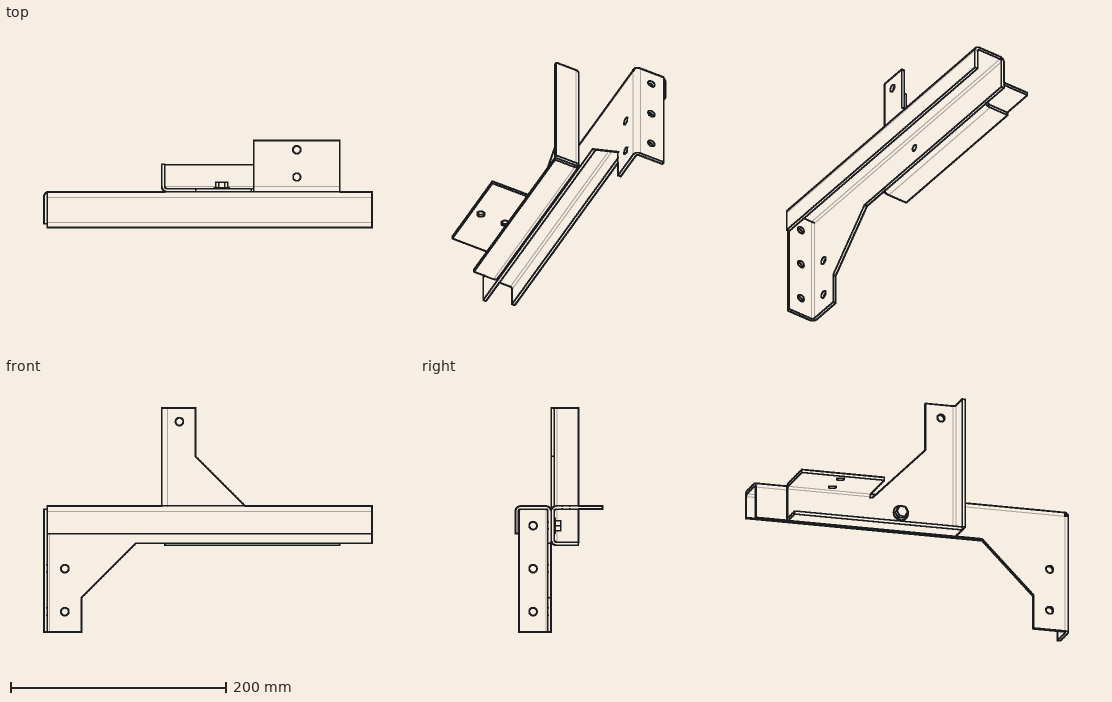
import cadquery as cq
import math

SHEET = 3.0
BEND = 5.0
INNER_BEND = BEND - SHEET
HOLE_DIA = 7.0
HOLE_PITCH = 40.0

BEAM_LENGTH = 304.8
BEAM_TOP = 117.0
BEAM_DEPTH = 33.2
LIP_HEIGHT = 25.5
BEAM_PLATE_BOTTOM = 82.3
LEG_RIGHT = 35.0
LEG_GUSSET = 50.3
LEG_FLANGE_DEPTH = 30.0
LEG_HOLE_X = 19.5
LEG_HOLE_Y = -16.8
LOWEST_HOLE_Z = 19.0

POST_LEFT = 109.5
POST_RIGHT = 140.8
POST_TOP = 208.2
POST_GUSSET = 51.8
POST_GUSSET_TOP = 163.0
POST_FLANGE_DEPTH = 25.5
POST_HOLE_X = 126.0
POST_HOLE_Z = 195.5
REAR_RIGHT = 275.0
REAR_BOTTOM = 80.5
BOTTOM_FLANGE_DEPTH = 25.3
SHELF_LEFT = 194.8
SHELF_DEPTH = 48.0
SHELF_HOLE_YS = (13.7, 39.0)

BOLT_X = 165.2
BOLT_Z = LOWEST_HOLE_Z + 2 * HOLE_PITCH
BOLT_SHANK_DIA = 6.0
BOLT_COLLAR_DIA = 14.0
BOLT_COLLAR_HEIGHT = 1.0
BOLT_HEX_CORNERS = 11.0
BOLT_HEAD_HEIGHT = 6.0


def bent_flange(origin, inward, outward, length, depth):
    """Bend with a flange behind it.

    origin is on the sharp outer corner of the bend, inward points into the parent
    sheet, outward points along the flange; the bend runs along inward x outward.
    """
    inward = cq.Vector(*inward)
    outward = cq.Vector(*outward)
    plane = cq.Plane(origin=origin, xDir=inward, normal=inward.cross(outward))
    diagonal = math.sqrt(0.5)
    outer_mid = BEND - BEND * diagonal
    inner_mid = BEND - INNER_BEND * diagonal
    return (
        cq.Workplane(plane)
        .moveTo(BEND, 0)
        .threePointArc((outer_mid, outer_mid), (0, BEND))
        .lineTo(0, depth)
        .lineTo(SHEET, depth)
        .lineTo(SHEET, BEND)
        .threePointArc((inner_mid, inner_mid), (BEND, SHEET))
        .close()
        .extrude(length)
    )


def plate(outline, y_start):
    """Flat XZ sheet that fills y_start to y_start + SHEET."""
    return cq.Workplane("XZ", origin=(0, y_start, 0)).polyline(outline).close().extrude(-SHEET)


def cylinder_along(direction, start, diameter, length):
    return cq.Workplane(
        cq.Solid.makeCylinder(diameter / 2, length, cq.Vector(*start), cq.Vector(*direction))
    )


def drill(body, direction, start, diameter=HOLE_DIA):
    """Hole through the one sheet that begins at start."""
    return body.cut(cylinder_along(direction, start, diameter, SHEET))


def make_front_bracket():
    body = plate(
        [
            (BEND, 0),
            (LEG_RIGHT, 0),
            (LEG_RIGHT, BEAM_PLATE_BOTTOM - LEG_GUSSET),
            (LEG_RIGHT + LEG_GUSSET, BEAM_PLATE_BOTTOM),
            (BEAM_LENGTH, BEAM_PLATE_BOTTOM),
            (BEAM_LENGTH, BEAM_TOP - BEND),
            (BEND, BEAM_TOP - BEND),
        ],
        -SHEET,
    )
    beam_run = BEAM_LENGTH - SHEET
    leg_flange_top = BEAM_TOP - SHEET
    leg_flange = bent_flange((0, 0, leg_flange_top), (1, 0, 0), (0, -1, 0), leg_flange_top, LEG_FLANGE_DEPTH)
    top_flange = bent_flange(
        (BEAM_LENGTH, 0, BEAM_TOP), (0, 0, -1), (0, -1, 0), beam_run, BEAM_DEPTH - BEND
    )
    lip = bent_flange((BEAM_LENGTH, -BEAM_DEPTH, BEAM_TOP), (0, 1, 0), (0, 0, -1), beam_run, LIP_HEIGHT)
    body = body.union(leg_flange).union(top_flange).union(lip)

    for row in range(3):
        body = drill(body, (1, 0, 0), (0, LEG_HOLE_Y, LOWEST_HOLE_Z + row * HOLE_PITCH))
    for row in range(2):
        body = drill(body, (0, 1, 0), (LEG_HOLE_X, -SHEET, LOWEST_HOLE_Z + row * HOLE_PITCH))
    return drill(body, (0, 1, 0), (BOLT_X, -SHEET, BOLT_Z), BOLT_SHANK_DIA)


def make_rear_bracket():
    gusset_right = POST_RIGHT + POST_GUSSET
    gusset_bottom = POST_GUSSET_TOP - POST_GUSSET
    shelf_bend_bottom = BEAM_TOP - BEND
    body = plate(
        [
            (POST_LEFT + BEND, REAR_BOTTOM + BEND),
            (REAR_RIGHT, REAR_BOTTOM + BEND),
            (REAR_RIGHT, shelf_bend_bottom),
            (SHELF_LEFT, shelf_bend_bottom),
            (SHELF_LEFT, gusset_bottom),
            (gusset_right, gusset_bottom),
            (POST_RIGHT, POST_GUSSET_TOP),
            (POST_RIGHT, POST_TOP),
            (POST_LEFT + BEND, POST_TOP),
        ],
        0,
    )
    post_bottom = REAR_BOTTOM + SHEET
    bottom_left = POST_LEFT + SHEET
    post_flange = bent_flange(
        (POST_LEFT, 0, post_bottom), (1, 0, 0), (0, 1, 0), POST_TOP - post_bottom, POST_FLANGE_DEPTH
    )
    bottom_flange = bent_flange(
        (REAR_RIGHT, 0, REAR_BOTTOM), (0, 0, 1), (0, 1, 0), REAR_RIGHT - bottom_left, BOTTOM_FLANGE_DEPTH
    )
    shelf = bent_flange(
        (SHELF_LEFT, 0, BEAM_TOP), (0, 0, -1), (0, 1, 0), REAR_RIGHT - SHELF_LEFT, SHELF_DEPTH
    )
    body = body.union(post_flange).union(bottom_flange).union(shelf)

    shelf_middle = (SHELF_LEFT + REAR_RIGHT) / 2
    for y in SHELF_HOLE_YS:
        body = drill(body, (0, 0, -1), (shelf_middle, y, BEAM_TOP))
    body = drill(body, (0, 1, 0), (POST_HOLE_X, 0, POST_HOLE_Z))
    return drill(body, (0, 1, 0), (BOLT_X, 0, BOLT_Z), BOLT_SHANK_DIA)


def make_bolt():
    """Head behind the rear plate, shank flush with the front plate."""
    shank = cylinder_along((0, 1, 0), (BOLT_X, -SHEET, BOLT_Z), BOLT_SHANK_DIA, 2 * SHEET)
    collar = cylinder_along((0, 1, 0), (BOLT_X, SHEET, BOLT_Z), BOLT_COLLAR_DIA, BOLT_COLLAR_HEIGHT)
    hexagon = (
        cq.Workplane("XZ", origin=(BOLT_X, SHEET, BOLT_Z))
        .polygon(6, BOLT_HEX_CORNERS)
        .extrude(-BOLT_HEAD_HEIGHT)
    )
    return shank.union(collar).union(hexagon)


front_bracket = make_front_bracket().solids().val()
rear_bracket = make_rear_bracket().solids().val()
bolt = make_bolt().solids().val()

result = cq.Compound.makeCompound([front_bracket, rear_bracket, bolt])